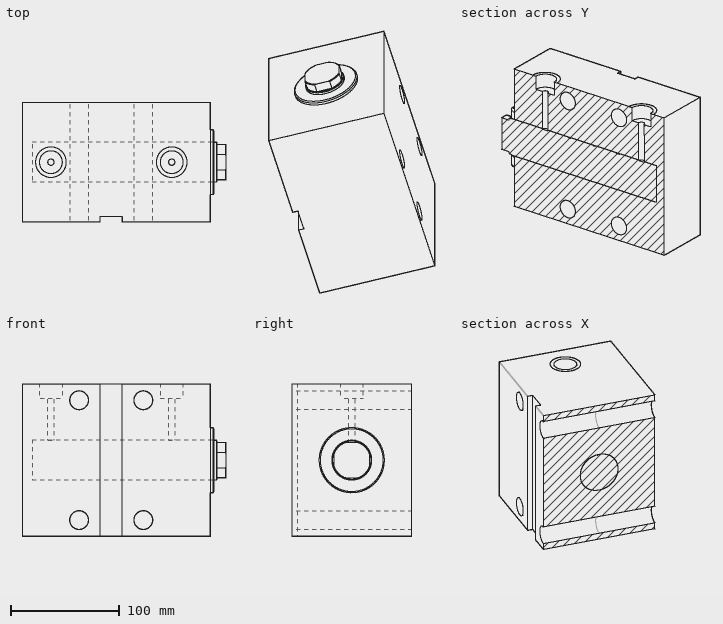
import cadquery as cq

total_length = 187.0
block_length = 172.6
block_depth = 110.0
block_height = 140.0
edge_radius = 0.4

keyway_start = 71.5
keyway_width = 20.0
keyway_depth = 5.0
keyway_center = keyway_start + keyway_width / 2

bolt_hole_diameter = 17.0
bolt_spacing_x = 58.9
bolt_spacing_z = 110.0
bolt_center_x = 81.5

port_positions = (26.2, 137.0)
spotface_diameter = 28.0
spotface_depth = 0.2
port_diameter = 21.0
port_depth = 13.5
passage_diameter = 5.8

rod_radius = 18.3
rod_end_wall = 9.4
rod_shoulder = 178.8
shoulder_chamfer = 0.7
drive_radius = 17.8
drive_across_flats = 32.5
drive_chamfer = 0.5

ring_radius = 30.0
ring_thickness = 3.4
ring_chamfer = 1.1

front_y = -block_depth / 2
top_z = block_height / 2


def cylinder_x(radius, start, end):
    """Cylinder on the X axis between two X positions."""
    return cq.Workplane("YZ", origin=(start, 0, 0)).circle(radius).extrude(end - start)


def hole_from_top(x, diameter, depth):
    """Cutter for a vertical hole that enters the top face."""
    return cq.Workplane("XY", origin=(x, 0, top_z)).circle(diameter / 2).extrude(-depth)


def make_housing():
    block = cq.Workplane("XY").box(block_length, block_depth, block_height).translate((block_length / 2, 0, 0))

    block = block.faces("<Y").edges("|X").fillet(edge_radius)

    keyway = cq.Workplane("XY").box(keyway_width, 2 * keyway_depth, block_height)
    block = block.cut(keyway.translate((keyway_center, front_y, 0)))

    bolt_holes = (
        cq.Workplane("XZ", origin=(bolt_center_x, 0, 0))
        .rarray(bolt_spacing_x, bolt_spacing_z, 2, 2)
        .circle(bolt_hole_diameter / 2)
        .extrude(block_depth / 2, both=True)
    )
    block = block.cut(bolt_holes)

    for x in port_positions:
        block = block.cut(hole_from_top(x, spotface_diameter, spotface_depth))
        block = block.cut(hole_from_top(x, port_diameter, port_depth))
        block = block.cut(hole_from_top(x, passage_diameter, top_z))

    return block.cut(cylinder_x(rod_radius, rod_end_wall, block_length))


def make_gland_ring():
    ring = cylinder_x(ring_radius, block_length, block_length + ring_thickness)
    ring = ring.faces(">X").edges().chamfer(ring_chamfer)
    return ring.cut(cylinder_x(rod_radius, block_length, block_length + ring_thickness))


def make_rod():
    shaft = cylinder_x(rod_radius, rod_end_wall, rod_shoulder)
    shaft = shaft.faces(">X").edges().chamfer(shoulder_chamfer)

    drive = cylinder_x(drive_radius, rod_shoulder, total_length)
    drive = drive.faces(">X").edges().chamfer(drive_chamfer)
    square = (
        cq.Workplane("YZ", origin=(rod_shoulder, 0, 0))
        .rect(drive_across_flats, drive_across_flats)
        .extrude(total_length - rod_shoulder)
    )
    return shaft.union(drive.intersect(square))


housing = make_housing()
gland_ring = make_gland_ring()
rod = make_rod()

result = cq.Compound.makeCompound([housing.val(), gland_ring.val(), rod.val()])